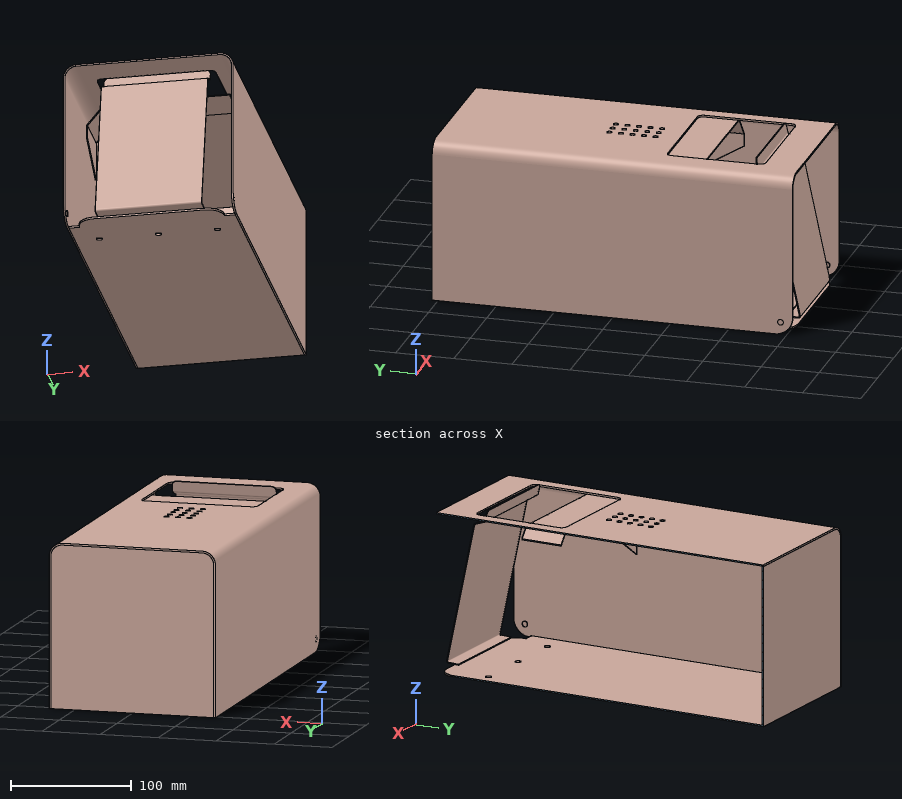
import cadquery as cq
import math

LENGTH = 310.0
WIDTH = 143.5
TOTAL_HEIGHT = 143.0
FRONT_Y = -LENGTH / 2
BACK_Y = LENGTH / 2

HOUSING_HEIGHT = 140.0
WALL = 1.5
BEND_RADIUS = 11.5
FOOT_RADIUS = 15.0
INNER_WIDTH = WIDTH - 2 * WALL
INNER_HEIGHT = HOUSING_HEIGHT - WALL
INNER_BEND_RADIUS = BEND_RADIUS - WALL

WINDOW_WIDTH = 99.8
WINDOW_FRONT_Y = -124.5
WINDOW_BACK_Y = -40.3
WINDOW_CORNER_RADIUS = 5.0

SPEAKER_COLUMNS = 3
SPEAKER_ROWS = 5
SPEAKER_PITCH = 10.0
SPEAKER_HOLE_DIAMETER = 4.0

WALL_HOLE_DIAMETER = 5.0
WALL_HOLE_DEPTH = WALL / 2
WALL_HOLE_SETBACK = 10.5

SHEET = 1.0
BASE_SHEET = WALL

FLOOR_SETBACK = 2.0
FLOOR_FRONT_Y = FRONT_Y + FLOOR_SETBACK
TONGUE_LENGTH = 15.0
TONGUE_INSET = 9.0
TONGUE_CORNER_RADIUS = 14.5
FLOOR_HOLE_COUNT = 3
FLOOR_HOLE_PITCH = 50.0
FLOOR_HOLE_DIAMETER = 5.0
FLOOR_HOLE_Y = -111.5

HOOD_FRONT_Y = -74.0
HOOD_BACK_Y = -37.0
HOOD_HALF_WIDTH = 68.2
HOOD_SHOULDER_WIDTH = 15.2
HOOD_SHOULDER_HEIGHT = 18.0
HOOD_WING_FRONT = 11.2
HOOD_WING_BACK = 33.5

PANEL_WIDTH = 90.0
PANEL_SETBACK = 0.3
PANEL_FOOT_Y = FRONT_Y + PANEL_SETBACK
PANEL_FOOT_Z = 6.0
PANEL_LEAN = 12.0
JOGGLE_LEAN = 71.0
JOGGLE_Z = 130.2
JOGGLE_RISE = 3.5
LIP_DROP_ANGLE = 2.0
LIP_LENGTH = 11.8
PANEL_OUTER_BEND = 2.0
PANEL_INNER_BEND = PANEL_OUTER_BEND - SHEET
TAB_CORNER_RADIUS = 4.0
CORNER_REACH = 0.15


def left_normal(start, end):
    """Unit vector square to the line from start to end, on its left side."""
    length = math.dist(start, end)
    return (start[1] - end[1]) / length, (end[0] - start[0]) / length


def sheet_outline(path, thickness):
    """Closed outline of a bent sheet: the path, and its copy offset to the left by the thickness."""
    normals = [left_normal(a, b) for a, b in zip(path, path[1:])]
    befores = normals[:1] + normals
    afters = normals + normals[-1:]
    offset_path = []
    for point, before, after in zip(path, befores, afters):
        mitre = thickness / (1 + before[0] * after[0] + before[1] * after[1])
        offset_path.append((
            point[0] + mitre * (before[0] + after[0]),
            point[1] + mitre * (before[1] + after[1]),
        ))
    return path + offset_path[::-1]


def arch(width, height, corner_radius, length):
    """Block with rounded upper edges, standing on Z = 0 and running forward from the back."""
    block = cq.Workplane("XY").box(width, length, height, centered=(True, False, False))
    block = block.edges("|Y and >Z").fillet(corner_radius)
    return block.translate((0, BACK_Y - length, 0))


def make_housing():
    housing = arch(WIDTH, HOUSING_HEIGHT, BEND_RADIUS, LENGTH)
    housing = housing.cut(arch(INNER_WIDTH, INNER_HEIGHT, INNER_BEND_RADIUS, LENGTH))
    housing = housing.faces("<Y").edges("|X and <Z").fillet(FOOT_RADIUS)

    window_length = WINDOW_BACK_Y - WINDOW_FRONT_Y
    window = (
        cq.Workplane("XY", origin=(0, WINDOW_FRONT_Y + window_length / 2, INNER_HEIGHT))
        .rect(WINDOW_WIDTH, window_length)
        .extrude(WALL)
        .edges("|Z")
        .fillet(WINDOW_CORNER_RADIUS)
    )
    speaker_holes = (
        cq.Workplane("XY", origin=(0, 0, INNER_HEIGHT))
        .rarray(SPEAKER_PITCH, SPEAKER_PITCH, SPEAKER_COLUMNS, SPEAKER_ROWS)
        .circle(SPEAKER_HOLE_DIAMETER / 2)
        .extrude(WALL)
    )
    wall_holes = (
        cq.Workplane("YZ")
        .center(FRONT_Y + WALL_HOLE_SETBACK, WALL_HOLE_SETBACK)
        .circle(WALL_HOLE_DIAMETER / 2)
        .extrude(INNER_WIDTH / 2 + WALL_HOLE_DEPTH, both=True)
    )
    return housing.cut(window).cut(speaker_holes).cut(wall_holes)


def make_base():
    tongue_back_y = FLOOR_FRONT_Y + TONGUE_LENGTH
    floor = (
        cq.Workplane("XY", origin=(0, tongue_back_y, 0))
        .box(INNER_WIDTH, BACK_Y - tongue_back_y, BASE_SHEET, centered=(True, False, False))
    )
    tongue = (
        cq.Workplane("XY", origin=(0, FLOOR_FRONT_Y, 0))
        .box(INNER_WIDTH - 2 * TONGUE_INSET, TONGUE_LENGTH, BASE_SHEET, centered=(True, False, False))
        .edges("|Z and <Y")
        .fillet(TONGUE_CORNER_RADIUS)
    )
    floor_holes = (
        cq.Workplane("XY", origin=(0, FLOOR_HOLE_Y, 0))
        .rarray(FLOOR_HOLE_PITCH, 3, FLOOR_HOLE_COUNT, 1)
        .circle(FLOOR_HOLE_DIAMETER / 2)
        .extrude(BASE_SHEET)
    )
    back_wall = arch(INNER_WIDTH, INNER_HEIGHT, INNER_BEND_RADIUS, BASE_SHEET)
    return floor.union(tongue).cut(floor_holes).union(back_wall)


def make_hood():
    shoulder_x = HOOD_HALF_WIDTH - HOOD_SHOULDER_WIDTH
    wing_top_z = INNER_HEIGHT - HOOD_SHOULDER_HEIGHT
    wing_bottom_z = wing_top_z - HOOD_WING_BACK
    right_half = [
        (shoulder_x, INNER_HEIGHT),
        (HOOD_HALF_WIDTH, wing_top_z),
        (HOOD_HALF_WIDTH, wing_bottom_z),
    ]
    left_half = [(-x, z) for x, z in right_half]
    outline = sheet_outline(right_half[::-1] + left_half, SHEET)
    hood = (
        cq.Workplane("XZ", origin=(0, HOOD_BACK_Y, 0))
        .polyline(outline)
        .close()
        .extrude(HOOD_BACK_Y - HOOD_FRONT_Y)
    )
    below_wings = (
        cq.Workplane("YZ")
        .polyline([
            (HOOD_BACK_Y, wing_bottom_z),
            (HOOD_FRONT_Y, wing_top_z - HOOD_WING_FRONT),
            (HOOD_FRONT_Y, wing_bottom_z),
        ])
        .close()
        .extrude(HOOD_HALF_WIDTH, both=True)
    )
    return hood.cut(below_wings)


def round_bend(panel, corner, radius):
    """Round the edge of the panel that runs along X through the given (Y, Z) corner."""
    y, z = corner
    around_corner = cq.selectors.BoxSelector(
        (-PANEL_WIDTH, y - CORNER_REACH, z - CORNER_REACH),
        (PANEL_WIDTH, y + CORNER_REACH, z + CORNER_REACH),
    )
    return panel.edges("|X").edges(around_corner).fillet(radius)


def make_front_panel():
    lean = math.tan(math.radians(PANEL_LEAN))
    lip_angle = math.radians(LIP_DROP_ANGLE)
    joggle_front_y = PANEL_FOOT_Y + (JOGGLE_Z - PANEL_FOOT_Z) * lean
    joggle_back_y = joggle_front_y + JOGGLE_RISE * math.tan(math.radians(JOGGLE_LEAN))
    joggle_top_z = JOGGLE_Z + JOGGLE_RISE
    tab_top_y = joggle_back_y + (TOTAL_HEIGHT - joggle_top_z) * lean
    lip_end = (
        PANEL_FOOT_Y + LIP_LENGTH * math.cos(lip_angle),
        PANEL_FOOT_Z - LIP_LENGTH * math.sin(lip_angle),
    )
    front_face = [
        (tab_top_y, TOTAL_HEIGHT),
        (joggle_back_y, joggle_top_z),
        (joggle_front_y, JOGGLE_Z),
        (PANEL_FOOT_Y, PANEL_FOOT_Z),
        lip_end,
    ]
    outline = sheet_outline(front_face, SHEET)
    panel = (
        cq.Workplane("YZ")
        .polyline(outline)
        .close()
        .extrude(PANEL_WIDTH / 2, both=True)
    )

    back_face = outline[:len(front_face) - 1:-1]
    _, joggle_back, joggle_front, foot, _ = front_face
    _, joggle_back_rear, joggle_front_rear, foot_rear, _ = back_face
    for corner in (joggle_back_rear, joggle_front, foot):
        panel = round_bend(panel, corner, PANEL_OUTER_BEND)
    for corner in (joggle_back, joggle_front_rear, foot_rear):
        panel = round_bend(panel, corner, PANEL_INNER_BEND)

    rounded_front = (
        cq.Workplane("XY", origin=(0, FRONT_Y, 0))
        .box(PANEL_WIDTH, LENGTH, TOTAL_HEIGHT, centered=(True, False, False))
        .edges("|Y and >Z")
        .fillet(TAB_CORNER_RADIUS)
    )
    return panel.intersect(rounded_front)


housing = make_housing()
base = make_base()
hood = make_hood()
front_panel = make_front_panel()

result = cq.Compound.makeCompound([
    housing.val(),
    base.val(),
    hood.val(),
    front_panel.val(),
])